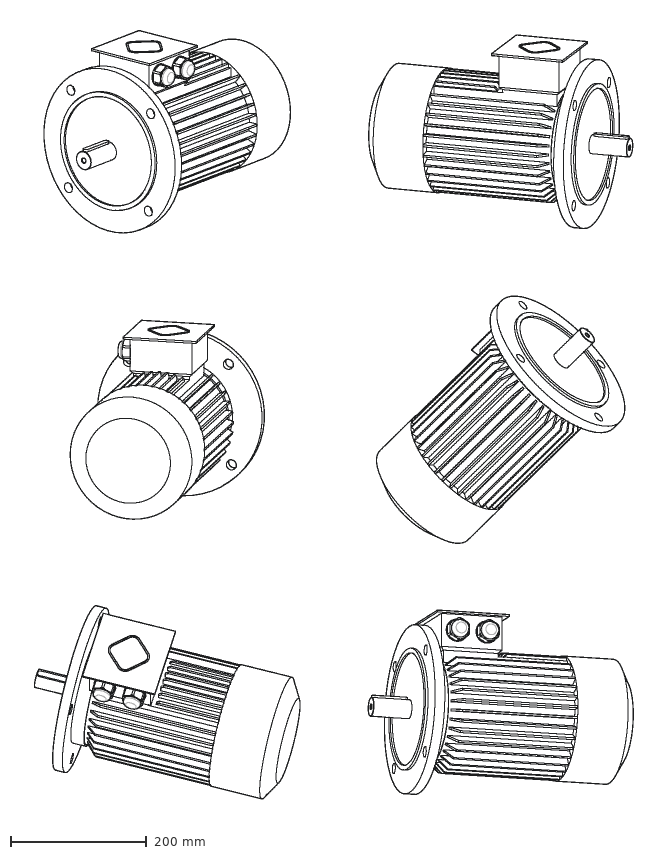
import cadquery as cq
import math


shaft_diameter = 28.0
shaft_length = 60.0
shaft_chamfer = 0.5
key_width = 8.0
key_top = 17.0
key_length = 55.0
key_setback = 1.0
centre_hole_diameter = 6.65
centre_hole_depth = 20.0
drill_point_angle = 118.0
countersink_diameter = 8.4
countersink_depth = (countersink_diameter - centre_hole_diameter) / 2

flange_diameter = 250.0
flange_thickness = 15.0
spigot_diameter = 180.0
spigot_height = 4.0
recess_diameter = 166.0
recess_depth = 3.0
bolt_circle_diameter = 215.0
bolt_hole_diameter = 15.0
bolt_count = 4
bolt_start_angle = 43.3

collar_diameter = 160.0
collar_length = 20.0
body_diameter = 155.0
body_front = flange_thickness + collar_length

cowl_diameter = 185.0
cowl_rear_diameter = 128.5
cowl_front = 230.5
cowl_shoulder = 308.0
motor_length = 385.0
cowl_rear = motor_length - shaft_length

fin_diameter = 183.0
fin_thickness = 3.0
fin_taper_start = 53.5
fin_angle_step = 10
first_fin_angle = 40
fin_root_overlap = 3.0
top_fin_count = 7
top_fin_pitch = 12.0
top_fin_front = 133.5
top_fin_chamfer = 4.5

box_centre_y = 81.0
neck_side = 85.0
box_side = 94.0
lid_side = 111.0
pad_top = 78.3
neck_top = 83.0
lid_bottom = 137.0
lid_top = 140.0
flare_height = (box_side - neck_side) / 2
box_bottom = neck_top + flare_height

frame_side = 51.0
frame_corner_radius = 12.0
frame_width = 2.5
frame_height = 1.0

gland_z = 113.0
gland_spacing = 46.0
gland_nut_diameter = 33.0
gland_nut_flats = 30.0
gland_nut_start = 48.8
gland_nut_end = 61.5
gland_nut_chamfer = 1.0
gland_cap_diameter = 26.14
gland_cap_end = 69.3
gland_cap_fillet = 5.0


def cylinder_y(diameter, start, end):
    """Cylinder on the motor axis between two Y positions."""
    return cq.Workplane("XZ", origin=(0, start, 0)).circle(diameter / 2).extrude(start - end)


def block(x_size, y_start, y_end, z_start, z_end):
    """Box centred on X = 0 between the given Y and Z positions."""
    size_y = y_end - y_start
    size_z = z_end - z_start
    return (
        cq.Workplane("XY", origin=(0, y_start + size_y / 2, z_start))
        .box(x_size, size_y, size_z, centered=(True, True, False))
    )


def revolve_about_y(points):
    """Solid of revolution from a closed (radius, Y) outline."""
    return cq.Workplane("XY").polyline(points).close().revolve(360, (0, 0, 0), (0, 1, 0))


def make_shaft():
    tip = -shaft_length
    shaft = cylinder_y(shaft_diameter, tip, 0).faces("<Y").chamfer(shaft_chamfer)
    key = (
        cq.Workplane("XY", origin=(0, tip + key_setback + key_length / 2, 0))
        .slot2D(key_length, key_width, 90)
        .extrude(key_top)
    )
    hole_radius = centre_hole_diameter / 2
    hole_end = tip + centre_hole_depth
    drill_point = hole_radius / math.tan(math.radians(drill_point_angle / 2))
    centre_hole = revolve_about_y([
        (0, tip),
        (countersink_diameter / 2, tip),
        (hole_radius, tip + countersink_depth),
        (hole_radius, hole_end),
        (0, hole_end + drill_point),
    ])
    return shaft.union(key).cut(centre_hole)


def make_flange():
    bolt_holes = (
        cq.Workplane("XZ")
        .polarArray(bolt_circle_diameter / 2, bolt_start_angle, 360, bolt_count)
        .circle(bolt_hole_diameter / 2)
        .extrude(-flange_thickness)
    )
    flange = cylinder_y(flange_diameter, 0, flange_thickness)
    spigot = cylinder_y(spigot_diameter, -spigot_height, 0)
    recess = cylinder_y(recess_diameter, -spigot_height, recess_depth - spigot_height)
    return flange.union(spigot).cut(recess).cut(bolt_holes)


def make_body():
    collar = cylinder_y(collar_diameter, flange_thickness, body_front)
    barrel = cylinder_y(body_diameter, body_front, cowl_front)
    pad_front = box_centre_y - neck_side / 2
    pad = block(neck_side, pad_front, cowl_front, 0, pad_top)
    return collar.union(barrel).union(pad)


def make_cowl():
    return revolve_about_y([
        (0, cowl_front),
        (cowl_diameter / 2, cowl_front),
        (cowl_diameter / 2, cowl_shoulder),
        (cowl_rear_diameter / 2, cowl_rear),
        (0, cowl_rear),
    ])


def make_radial_fins():
    """Radial fins all round except under the terminal box, tapered at 45 degrees to the barrel.

    The fin is drawn along +X, so a quarter turn is taken off its angle from +Z.
    """
    fin_radius = fin_diameter / 2
    root_radius = body_diameter / 2 - fin_root_overlap
    fin_front = fin_taper_start - (fin_radius - root_radius)
    profile = [
        (root_radius, fin_front),
        (fin_radius, fin_taper_start),
        (fin_radius, cowl_front),
        (root_radius, cowl_front),
    ]
    fin = (
        cq.Workplane("XY", origin=(0, 0, -fin_thickness / 2))
        .polyline(profile)
        .close()
        .extrude(fin_thickness)
    )
    fins = cq.Workplane("XY")
    last_fin_angle = 360 - first_fin_angle
    for angle_from_top in range(first_fin_angle, last_fin_angle + 1, fin_angle_step):
        fins = fins.union(fin.rotate((0, 0, 0), (0, 1, 0), angle_from_top - 90))
    return fins


def make_top_fins():
    """Upright parallel fins on the pad behind the terminal box, topped by the fin circle."""
    fins = cq.Workplane("XY")
    fin_base = pad_top / 2
    for index in range(top_fin_count):
        x = (index - (top_fin_count - 1) / 2) * top_fin_pitch
        fin = block(fin_thickness, top_fin_front, cowl_front, fin_base, fin_diameter / 2)
        fins = fins.union(fin.translate((x, 0, 0)))
    envelope = (
        cylinder_y(fin_diameter, top_fin_front, cowl_front).faces("<Y").chamfer(top_fin_chamfer)
    )
    return fins.intersect(envelope)


def make_terminal_box():
    def square_prism(side, bottom, top):
        return block(side, box_centre_y - side / 2, box_centre_y + side / 2, bottom, top)

    neck = square_prism(neck_side, pad_top, neck_top)
    flare = (
        cq.Workplane("XY", origin=(0, box_centre_y, neck_top))
        .rect(neck_side, neck_side)
        .workplane(offset=flare_height)
        .rect(box_side, box_side)
        .loft()
    )
    housing = square_prism(box_side, box_bottom, lid_bottom)
    lid = square_prism(lid_side, lid_bottom, lid_top)
    return neck.union(flare).union(housing).union(lid)


def make_lid_frame():
    def rounded_square(side, corner_radius):
        return (
            cq.Workplane("XY")
            .rect(side, side)
            .extrude(frame_height)
            .edges("|Z")
            .fillet(corner_radius)
        )

    outer = rounded_square(frame_side, frame_corner_radius)
    inner = rounded_square(frame_side - 2 * frame_width, frame_corner_radius - frame_width)
    frame = outer.cut(inner).rotate((0, 0, 0), (0, 0, 1), 45)
    return frame.translate((0, box_centre_y, lid_top))


def make_gland():
    """Cable gland along +X with its axis through the origin."""
    def disc(diameter, start, end):
        return cq.Workplane("YZ", origin=(start, 0, 0)).circle(diameter / 2).extrude(end - start)

    stem = disc(gland_nut_diameter, box_side / 2, gland_nut_start)
    hexagon = (
        cq.Workplane("YZ", origin=(gland_nut_start, 0, 0))
        .polygon(6, gland_nut_flats, circumscribed=True)
        .extrude(gland_nut_end - gland_nut_start)
    )
    nut_blank = disc(gland_nut_diameter, gland_nut_start, gland_nut_end)
    nut = hexagon.intersect(nut_blank.faces(">X").chamfer(gland_nut_chamfer))
    cap_blank = disc(gland_cap_diameter, gland_nut_end, gland_cap_end)
    cap = cap_blank.faces(">X").edges().fillet(gland_cap_fillet)
    return stem.union(nut).union(cap)


def make_glands():
    gland = make_gland()
    glands = cq.Workplane("XY")
    for side in (-1, 1):
        glands = glands.union(gland.translate((0, box_centre_y + side * gland_spacing / 2, gland_z)))
    return glands


result = (
    make_body()
    .union(make_radial_fins())
    .union(make_top_fins())
    .union(make_cowl())
    .union(make_flange())
    .union(make_shaft())
    .union(make_terminal_box())
    .union(make_lid_frame())
    .union(make_glands())
)